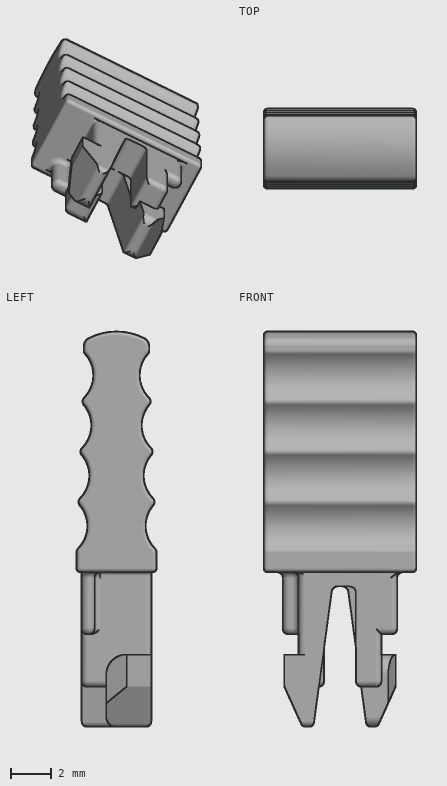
import cadquery as cq
import math


total_height = 19.7
grip_width = 7.6
grip_depth = 4.0
grip_height = 12.0
edge_round = 0.2
ridge_round = 0.25
groove_count = 4
groove_radius = 1.6
groove_pitch = 2.5
first_groove_z = 2.3
first_groove_half = 1.45
groove_step = 0.1
head_half = 1.64
head_corner_round = 0.47
crown_radius = 3.0
crown_center_z = grip_height - crown_radius

core_width = 4.14
clip_depth = 3.49
core_bottom = -5.71
clip_round = 0.3
core_flare = 0.15
root_half_width = 3.45
root_height = 0.2

post_width = 5.71
post_depth = 0.65
post_bottom = -3.1
post_round = 0.32
post_flare = 0.28

slot_top = -0.7
slot_round = 0.3
slot_straight_x = 0.79
slot_slant_top_x = 0.37
slot_slant_tip_x = 1.32

tip_z = grip_height - total_height
barb_top = -4.1
barb_x = 2.78
barb_knee_z = -5.7
barb_knee_round = 0.2
barb_tip_x = 1.87
barb_end_y = 0.51
barb_bevel_x = 2.4
barb_top_round = 1.0
barb_low_round = 0.5
tip_round = 0.28

clip_front_y = -clip_depth / 2
clip_back_y = clip_depth / 2


def half_turn(body):
    return body.rotate((0, 0, 0), (0, 0, 1), 180)


def block(x0, x1, y0, y1, z0, z1):
    box = cq.Workplane("XY").box(x1 - x0, y1 - y0, z1 - z0, centered=False)
    return box.translate((x0, y0, z0))


def crown_z(y):
    """Height of the domed top of the grip at a given Y."""
    return crown_center_z + math.sqrt(crown_radius**2 - y**2)


def ridge_between(lower, upper):
    """Crossing of two neighbouring groove circles on the side of the grip."""
    dy = upper[0] - lower[0]
    dz = upper[1] - lower[1]
    span = math.hypot(dy, dz)
    offset = math.sqrt(groove_radius**2 - (span / 2) ** 2)
    mid_y = (lower[0] + upper[0]) / 2
    mid_z = (lower[1] + upper[1]) / 2
    return (mid_y - offset * dz / span, mid_z + offset * dy / span)


def make_grip():
    half_base = grip_depth / 2
    centers = [
        (first_groove_half + groove_radius - i * groove_step, first_groove_z + i * groove_pitch)
        for i in range(groove_count)
    ]
    first_y, first_z = centers[0]
    last_y, last_z = centers[-1]
    base_top = first_z - math.sqrt(groove_radius**2 - (first_y - half_base) ** 2)
    head_bottom = last_z + math.sqrt(groove_radius**2 - (last_y - head_half) ** 2)
    head_top = crown_z(head_half)
    groove_ends = [ridge_between(low, high) for low, high in zip(centers, centers[1:])]
    groove_ends.append((head_half, head_bottom))

    outline = cq.Workplane("YZ").lineTo(half_base, 0).lineTo(half_base, base_top)
    for (y, z), groove_end in zip(centers, groove_ends):
        outline = outline.threePointArc((y - groove_radius, z), groove_end)
    outline = outline.lineTo(head_half, head_top)
    outline = outline.threePointArc((head_half / 2, crown_z(head_half / 2)), (0, grip_height))
    half = outline.close().extrude(grip_width / 2, both=True)
    grip = half.union(half_turn(half)).clean()

    def edges_between(z0, z1):
        reach = grip_width
        return cq.selectors.BoxSelector((-reach, -reach, z0), (reach, reach, z1))

    ridges = edges_between(base_top - edge_round, head_bottom + edge_round)
    head_corners = edges_between(head_top - edge_round, head_top + edge_round)
    grip = grip.edges("|X").edges(ridges).fillet(ridge_round)
    grip = grip.edges("|X").edges(head_corners).fillet(head_corner_round)
    return grip.faces("<X or >X or <Z").edges().fillet(edge_round)


def flared_column(outline, bottom, flare):
    """Column of the given outline, filleted onto the underside of the grip at its X sides."""
    column = outline.extrude(-bottom).translate((0, 0, bottom))
    reach = root_half_width
    column = column.union(block(-reach, reach, -reach, reach, 0, root_height))
    joint = column.faces("<Z[-2]").edges("not (<X or >X or <Y or >Y)")
    return joint.fillet(flare).intersect(
        block(-reach, reach, clip_front_y, clip_back_y, bottom, root_height)
    )


def make_slot():
    """Front half of the slot: slanted on the left, straight on the right."""
    slot = (
        cq.Workplane("XZ")
        .moveTo(-slot_slant_top_x, slot_top)
        .lineTo(slot_straight_x, slot_top)
        .lineTo(slot_straight_x, tip_z)
        .lineTo(-slot_slant_tip_x, tip_z)
        .close()
        .extrude(clip_depth / 2)
    )
    return slot.edges("|Y and >Z").fillet(slot_round)


def make_core():
    outline = cq.Workplane("XY").sketch().rect(core_width, clip_depth)
    outline = outline.vertices().fillet(clip_round).finalize()
    slot = make_slot()
    core = flared_column(outline, core_bottom, core_flare).cut(slot).cut(half_turn(slot))
    return core.faces("<Z").edges().fillet(clip_round)


def make_post():
    """Right shoulder post, blended into the side of the core by a cove."""
    core_x = core_width / 2
    outer_x = post_width / 2
    back_y = clip_front_y + post_depth
    cove_end_y = back_y + clip_round
    cove_mid = clip_round * (1 - math.sqrt(0.5))
    outline = (
        cq.Workplane("XY")
        .moveTo(slot_straight_x, clip_front_y)
        .lineTo(outer_x - post_round, clip_front_y)
        .radiusArc((outer_x, clip_front_y + post_round), -post_round)
        .lineTo(outer_x, back_y - post_round)
        .radiusArc((outer_x - post_round, back_y), -post_round)
        .lineTo(core_x + clip_round, back_y)
        .threePointArc((core_x + cove_mid, back_y + cove_mid), (core_x, cove_end_y))
        .lineTo(slot_straight_x, cove_end_y)
        .close()
    )
    post = flared_column(outline, post_bottom, post_flare)
    post = post.faces("<Z").edges("not <X").fillet(clip_round)
    inner_x = core_x - clip_round
    return post.intersect(
        block(inner_x, root_half_width, clip_front_y, cove_end_y, post_bottom, root_height)
    )


def make_barb_leg():
    """Left leg: tapered hook, bevelled and rounded at its rear end."""
    slant = (slot_slant_tip_x - slot_slant_top_x) / (slot_top - tip_z)
    inner_top_x = slot_slant_top_x + slant * (slot_top - barb_top)
    leg = (
        cq.Workplane("XZ", origin=(0, barb_end_y, 0))
        .moveTo(-barb_x, barb_top)
        .lineTo(-barb_x, barb_knee_z)
        .lineTo(-barb_tip_x, tip_z)
        .lineTo(-slot_slant_tip_x, tip_z)
        .lineTo(-inner_top_x, barb_top)
        .close()
        .extrude(barb_end_y - clip_front_y)
    )
    leg = leg.edges("|Y and <Z").fillet(tip_round)
    knee = cq.selectors.NearestToPointSelector((-barb_x, 0, barb_knee_z))
    leg = leg.edges("|Y").edges(knee).fillet(barb_knee_round)

    bevel = (
        cq.Workplane("XY", origin=(0, 0, tip_z))
        .moveTo(-barb_x, -barb_end_y)
        .lineTo(-barb_bevel_x, barb_end_y)
        .lineTo(-barb_x, barb_end_y)
        .close()
        .extrude(barb_top - tip_z)
    )
    leg = leg.cut(bevel)

    side = block(-barb_x, 0, clip_front_y, barb_end_y, tip_z, barb_top)
    side = side.edges("|X and >Y and >Z").fillet(barb_top_round)
    side = side.edges("|X and >Y and <Z").fillet(barb_low_round)
    side = side.edges("|X and <Y and <Z").fillet(clip_round)
    return leg.intersect(side)


post = make_post()
leg = make_barb_leg()
result = make_grip()
for body in (make_core(), post, half_turn(post), leg, half_turn(leg)):
    result = result.union(body)